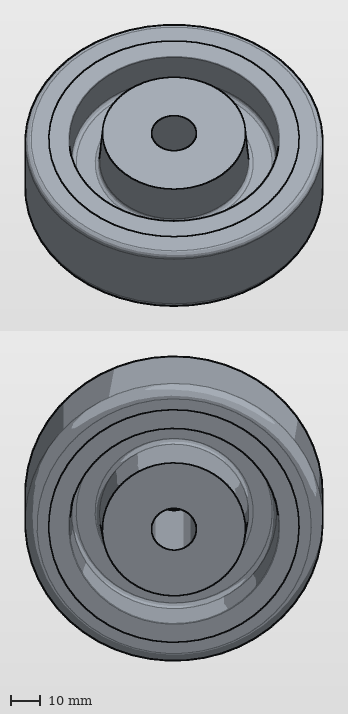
import cadquery as cq
import math

rim_height = 30.0
hub_overhang = 3.0
web_thickness = 4.0

tyre_radius = 50.0
wheel_radius = 42.0
recess_radius = 35.2
hub_radius = 24.0
bore_radius = 7.5

tyre_top_fillet = 2.0
tyre_bottom_fillet = 4.0
web_fillet = 1.5
recess_mouth_fillet = 0.2
draft_angle = 4.0

mid_height = rim_height / 2
recess_depth = (rim_height - web_thickness) / 2
hub_height = recess_depth + hub_overhang
draft_slope = math.tan(math.radians(draft_angle))
recess_floor_radius = recess_radius - recess_depth * draft_slope
hub_base_radius = hub_radius + hub_height * draft_slope


def make_tyre():
    """Plain ring around the wheel, rounded on its two outer edges."""
    tyre = cq.Workplane("XY").circle(tyre_radius).extrude(rim_height)
    tyre = tyre.faces(">Z").edges().fillet(tyre_top_fillet)
    tyre = tyre.faces("<Z").edges().fillet(tyre_bottom_fillet)
    bore = cq.Workplane("XY").circle(wheel_radius).extrude(rim_height)
    return tyre.cut(bore)


def make_recess():
    """Upper annular recess between rim and hub, with drafted walls and rounded floor corners."""
    floor_z = rim_height - recess_depth
    hub_top_z = rim_height + hub_overhang
    profile = (
        cq.Workplane("XZ")
        .moveTo(hub_base_radius, floor_z)
        .lineTo(recess_floor_radius, floor_z)
        .lineTo(recess_radius, rim_height)
        .lineTo(wheel_radius, rim_height)
        .lineTo(wheel_radius, hub_top_z)
        .lineTo(hub_radius, hub_top_z)
        .close()
    )
    recess = profile.revolve(360, (0, 0, 0), (0, 1, 0))
    return recess.faces("<Z").edges().fillet(web_fillet)


def make_wheel():
    """Rim, web and hub in one piece, recessed alike on both sides of the web."""
    blank = (
        cq.Workplane("XY")
        .workplane(offset=-hub_overhang)
        .circle(wheel_radius)
        .circle(bore_radius)
        .extrude(rim_height + 2 * hub_overhang)
    )
    upper_recess = make_recess()
    lower_recess = upper_recess.mirror("XY", (0, 0, mid_height))
    wheel = blank.cut(upper_recess).cut(lower_recess)
    mouth_edges = wheel.edges(cq.selectors.RadiusNthSelector(-2))
    return mouth_edges.fillet(recess_mouth_fillet)


tyre = make_tyre()
wheel = make_wheel()

result = cq.Compound.makeCompound([tyre.val(), wheel.val()])